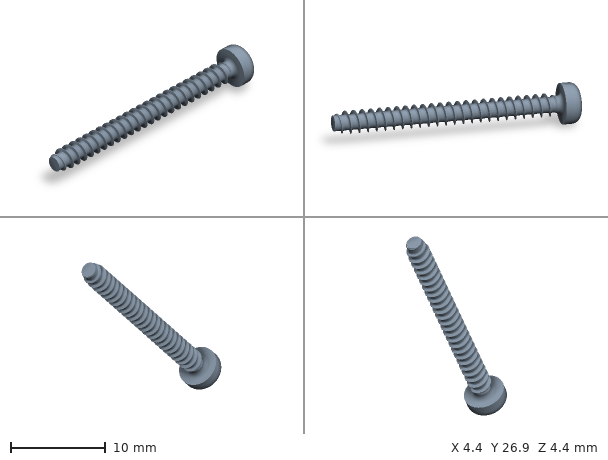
import cadquery as cq
import math


total_length = 26.9
head_height = 1.9
head_radius = 2.2
dome_radius = 0.95

shank_length = total_length - head_height
neck_radius = 0.91
underhead_fillet = 0.4
neck_length = 0.62
neck_taper_length = 0.15
core_radius = 0.83

thread_radius = 2.5 / 2
thread_turns = 26
thread_sweep_length = 24.7
pitch = thread_sweep_length / thread_turns
foot_height = 0.067
head_side_foot_width = 0.3
tip_side_foot_width = 0.2
fin_root_half_width = 0.08
fin_crest_half_width = 0.022
root_overlap = 0.08
thread_start = 0.55
start_fade_length = 0.91
tip_fade_length = 1.61
tip_thread_height = 0.05
tip_clearance = 0.08


def make_body():
    """Head, under-head fillet, neck and core as one revolved outline (radius, Y)."""
    diagonal = math.sqrt(0.5)
    dome_centre = (head_radius - dome_radius, head_height - dome_radius)
    fillet_centre = (neck_radius + underhead_fillet, -underhead_fillet)
    return (
        cq.Workplane("XY")
        .moveTo(0, head_height)
        .lineTo(dome_centre[0], head_height)
        .threePointArc(
            (dome_centre[0] + dome_radius * diagonal, dome_centre[1] + dome_radius * diagonal),
            (head_radius, dome_centre[1]),
        )
        .lineTo(head_radius, 0)
        .lineTo(fillet_centre[0], 0)
        .threePointArc(
            (
                fillet_centre[0] - underhead_fillet * diagonal,
                fillet_centre[1] + underhead_fillet * diagonal,
            ),
            (neck_radius, -underhead_fillet),
        )
        .lineTo(neck_radius, -neck_length)
        .lineTo(core_radius, -neck_length - neck_taper_length)
        .lineTo(core_radius, -shank_length)
        .lineTo(0, -shank_length)
        .close()
        .revolve(360, (0, 0, 0), (0, 1, 0))
    )


def thread_root_point(foot_width, side):
    """Lower end of a foot flank, carried on below the core surface so that the thread joins the core."""
    flank_run = (foot_width - fin_root_half_width) / foot_height
    return (core_radius - root_overlap, side * (foot_width + root_overlap * flank_run))


def make_thread():
    """Right-hand thread swept along Z, then turned so that it runs from the head to the tip."""
    foot_radius = core_radius + foot_height
    profile = [
        thread_root_point(tip_side_foot_width, 1),
        (foot_radius, fin_root_half_width),
        (thread_radius, fin_crest_half_width),
        (thread_radius, -fin_crest_half_width),
        (foot_radius, -fin_root_half_width),
        thread_root_point(head_side_foot_width, -1),
    ]
    helix = cq.Wire.makeHelix(pitch, thread_sweep_length, core_radius)
    return (
        cq.Workplane("XZ")
        .polyline(profile)
        .close()
        .sweep(cq.Workplane(obj=helix), isFrenet=True)
        .rotate((0, 0, 0), (1, 0, 0), 90)
        .translate((0, -thread_start, 0))
    )


def make_thread_envelope():
    """Turned shape that fades the thread in below the neck and out towards the tip."""
    start = -thread_start
    return (
        cq.Workplane("XY")
        .moveTo(0, start)
        .lineTo(core_radius, start)
        .lineTo(thread_radius + root_overlap, start - start_fade_length)
        .lineTo(thread_radius + root_overlap, -shank_length + tip_fade_length)
        .lineTo(core_radius + tip_thread_height, -shank_length + tip_clearance)
        .lineTo(0, -shank_length + tip_clearance)
        .close()
        .revolve(360, (0, 0, 0), (0, 1, 0))
    )


result = make_body().union(make_thread().intersect(make_thread_envelope()))